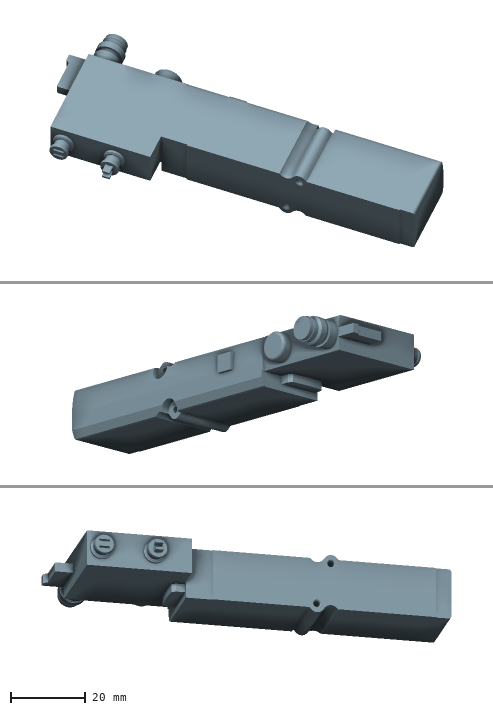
import cadquery as cq
import math


body_height = 14.1
body_left = 35.2
body_right = 108.5
body_front = 7.5
body_back = 28.8
front_relief = 0.3
pad_left = 42.5
pad_right = 104.2
end_radius = 0.8
back_bevel = 1.0
slant_top = 2.6
edge_bevel = 0.7
edge_bevel_height = 0.2

block_left = 6.0
block_right = 34.9
block_bottom = 4.2
block_back_edge = 27.5
block_bevel = 0.3
block_bevel_height = 0.1
block_back_crown = 28.4
axis_z = (block_bottom + body_height) / 2

ridge_radius = 3.9 / 2
ridge_height = 1.3
groove_radius = 4.5 / 2
groove_depth = 1.03
screw_x_low = 71.3
screw_x_high = 75.2
screw_inset = 1.2
screw_hole_diameter = 1.7
screw_entry_diameter = 2.3
entry_depth = (screw_entry_diameter - screw_hole_diameter) / 2
screw_head_diameter = 5.3
screw_head_seat = 26.1

plug_x = (9.9, 24.6)
plug_tip = 4.0
blade_offset = 1.0
blade_thickness = 0.7
blade_width = 2.2
blade_end = 6.5
blade_root = 0.5
slot_width = 2.9
slot_depth = 1.1
knob_x = 27.9
connector_root = 27.1


def box(x0, x1, y0, y1, z0, z1):
    return cq.Workplane("XY").box(x1 - x0, y1 - y0, z1 - z0, centered=False).translate((x0, y0, z0))


def turned(x, steps):
    """Solid of revolution about an axis along Y; steps are (diameter, y) pairs."""
    outline = [(0, steps[0][1])]
    outline += [(diameter / 2, y) for diameter, y in steps]
    outline += [(0, steps[-1][1])]
    profile = cq.Workplane("XY", origin=(x, 0, axis_z)).polyline(outline).close()
    return profile.revolve(360, (0, 0, 0), (0, 1, 0))


def rod(x, z, diameter, y0, y1):
    """Cylinder along Y from y0 to y1."""
    return cq.Workplane("XZ", origin=(x, y0, z)).circle(diameter / 2).extrude(y0 - y1)


def make_main_body():
    """Ridged and grooved valve body with set-back strips on its front face."""
    ridge_z = body_height + ridge_height - ridge_radius
    groove_z = body_height - groove_depth + groove_radius
    groove_half = math.sqrt(groove_radius**2 - (groove_z - body_height) ** 2)
    run = screw_x_high - screw_x_low
    rise = groove_z - ridge_z
    flank_lean = math.acos((ridge_radius + groove_radius) / math.hypot(run, rise))
    flank_angle = math.atan2(rise, -run) - flank_lean
    flank_dx = math.cos(flank_angle)
    flank_dz = math.sin(flank_angle)
    ridge_foot = (screw_x_high + ridge_radius * flank_dx, ridge_z + ridge_radius * flank_dz)
    groove_foot = (screw_x_low - groove_radius * flank_dx, groove_z - groove_radius * flank_dz)
    diagonal = ridge_radius * math.sqrt(0.5)
    ridge_shoulder = (screw_x_high + diagonal, ridge_z + diagonal)
    ridge_end = (ridge_shoulder[0] + ridge_shoulder[1] - body_height, body_height)
    center_x = (screw_x_low + screw_x_high) / 2

    def turn(point):
        """Half a turn about the middle between the two screws."""
        return (2 * center_x - point[0], body_height - point[1])

    groove_start = (screw_x_low - groove_half, body_height)
    groove_floor = (screw_x_low, body_height - groove_depth)
    ridge_top = (screw_x_high, body_height + ridge_height)
    profile = (
        cq.Workplane("XZ")
        .moveTo(body_left, 0)
        .lineTo(body_left, block_bottom)
        .lineTo(block_right, block_bottom)
        .lineTo(block_right, body_height)
        .lineTo(*groove_start)
        .threePointArc(groove_floor, groove_foot)
        .lineTo(*ridge_foot)
        .threePointArc(ridge_top, ridge_shoulder)
        .lineTo(*ridge_end)
        .lineTo(body_right - end_radius, body_height)
        .tangentArcPoint((body_right, body_height - end_radius), relative=False)
        .lineTo(body_right, end_radius)
        .tangentArcPoint((body_right - end_radius, 0), relative=False)
        .lineTo(*turn(groove_start))
        .threePointArc(turn(groove_floor), turn(groove_foot))
        .lineTo(*turn(ridge_foot))
        .threePointArc(turn(ridge_top), turn(ridge_shoulder))
        .lineTo(*turn(ridge_end))
        .close()
    )
    body = profile.extrude(-body_back).intersect(make_side_envelope())
    set_back = body_front + front_relief
    body = body.cut(box(0, pad_left, 0, set_back, 0, body_height))
    return body.cut(box(pad_right, body_right, 0, set_back, 0, body_height))


def make_side_envelope():
    """Side profile of the main body: the back face slants in below and curves in above."""
    bevel_y = body_back - back_bevel
    edge_y = bevel_y - edge_bevel
    return (
        cq.Workplane("YZ")
        .moveTo(body_front, -ridge_height)
        .lineTo(edge_y, -ridge_height)
        .lineTo(edge_y, 0)
        .lineTo(bevel_y, edge_bevel_height)
        .lineTo(body_back, slant_top)
        .lineTo(body_back, body_height / 2)
        .tangentArcPoint((bevel_y, body_height - edge_bevel_height), relative=False)
        .lineTo(edge_y, body_height)
        .lineTo(edge_y, body_height + ridge_height)
        .lineTo(body_front, body_height + ridge_height)
        .close()
        .extrude(body_right)
    )


def make_block():
    """Connection block with a barrelled back face."""
    bevel_y = block_back_edge + block_bevel
    return (
        cq.Workplane("YZ", origin=(block_left, 0, 0))
        .moveTo(0, block_bottom)
        .lineTo(block_back_edge, block_bottom)
        .lineTo(bevel_y, block_bottom + block_bevel_height)
        .threePointArc((block_back_crown, axis_z), (bevel_y, body_height - block_bevel_height))
        .lineTo(block_back_edge, body_height)
        .lineTo(0, body_height)
        .close()
        .extrude(block_right - block_left)
    )


def make_latch():
    """Flat hooked tab on the left face of the block."""
    thickness = 2.6
    stem_x = 1.1
    front_y = 16.7
    corner = 0.3
    outline = [
        (block_left, front_y),
        (stem_x + corner, front_y),
        (stem_x, front_y + corner),
        (stem_x, 25.5),
        (0, 26.5),
        (0, block_back_crown),
        (block_left, block_back_crown),
    ]
    bottom = axis_z - thickness / 2
    return cq.Workplane("XY", origin=(0, 0, bottom)).polyline(outline).close().extrude(thickness)


def make_slider():
    """Pad with a crowned face under the block, on the left end of the main body."""
    bottom = 2.0
    front_y = 9.0
    back_y = 21.3
    side_x = 32.7
    corner_x = 31.6
    crown_x = 31.2
    corner = 0.8
    return (
        cq.Workplane("XY", origin=(0, 0, bottom))
        .moveTo(body_left, front_y)
        .lineTo(side_x, front_y)
        .lineTo(corner_x, front_y + corner)
        .threePointArc((crown_x, (front_y + back_y) / 2), (corner_x, back_y - corner))
        .lineTo(side_x, back_y)
        .lineTo(body_left, back_y)
        .close()
        .extrude(block_bottom - bottom)
    )


def make_plug(x):
    """Flanged plug on the front of the block."""
    return turned(
        x,
        [
            (6.1, 0),
            (6.1, -0.7),
            (5.0, -1.0),
            (4.5, -1.0),
            (4.5, -3.1),
            (5.3, -3.1),
            (5.3, -3.6),
            (5.1, -plug_tip),
        ],
    )


def make_threaded_connector():
    """Stepped round connector behind the left plug."""
    return turned(
        plug_x[0],
        [
            (7.8, connector_root),
            (7.8, 31.4),
            (6.1, 31.4),
            (6.1, 32.3),
            (6.5, 32.7),
            (8.0, 32.7),
            (8.0, 34.6),
            (6.5, 35.2),
            (6.5, 36.3),
            (6.9, 36.6),
            (6.9, 36.9),
            (6.5, 36.9),
            (6.5, 38.2),
        ],
    )


def make_knob():
    """Round knob with a rounded rim on the back of the block."""
    knob = turned(knob_x, [(8.1, connector_root), (8.1, 31.6)])
    return knob.edges(">Y").fillet(0.9)


def make_button():
    """Square button standing on the back face of the main body."""
    width = 5.0
    left = 46.1
    height = 1.1
    root = connector_root
    low = axis_z - width / 2
    return box(left, left + width, root, body_back + height, low, low + width)


def flat_pins(x, width, front, back):
    """A pair of flat bars above and below a plug axis."""
    pins = cq.Workplane("XY")
    for z in (axis_z - blade_offset, axis_z + blade_offset):
        low = z - blade_thickness / 2
        pins = pins.add(box(x - width / 2, x + width / 2, front, back, low, low + blade_thickness))
    return pins.combine()


def make_screw_hole(x, z):
    """Through hole, countersunk at the front, with a head recess at the back."""
    entry = cq.Workplane("XZ", origin=(x, body_front, z)).circle(screw_entry_diameter / 2)
    countersink = entry.workplane(offset=-entry_depth).circle(screw_hole_diameter / 2).loft()
    hole = rod(x, z, screw_hole_diameter, body_front, body_back)
    head = rod(x, z, screw_head_diameter, screw_head_seat, body_back)
    return hole.union(head).union(countersink)


result = make_main_body().union(make_block()).union(make_latch()).union(make_slider())
result = result.union(make_threaded_connector()).union(make_knob()).union(make_button())
for x in plug_x:
    result = result.union(make_plug(x))

socket_x, blade_x = plug_x
result = result.cut(flat_pins(socket_x, slot_width, -plug_tip, slot_depth - plug_tip))
result = result.union(flat_pins(blade_x, blade_width, -blade_end, blade_root - plug_tip))

result = result.cut(make_screw_hole(screw_x_low, screw_inset))
result = result.cut(make_screw_hole(screw_x_high, body_height - screw_inset))